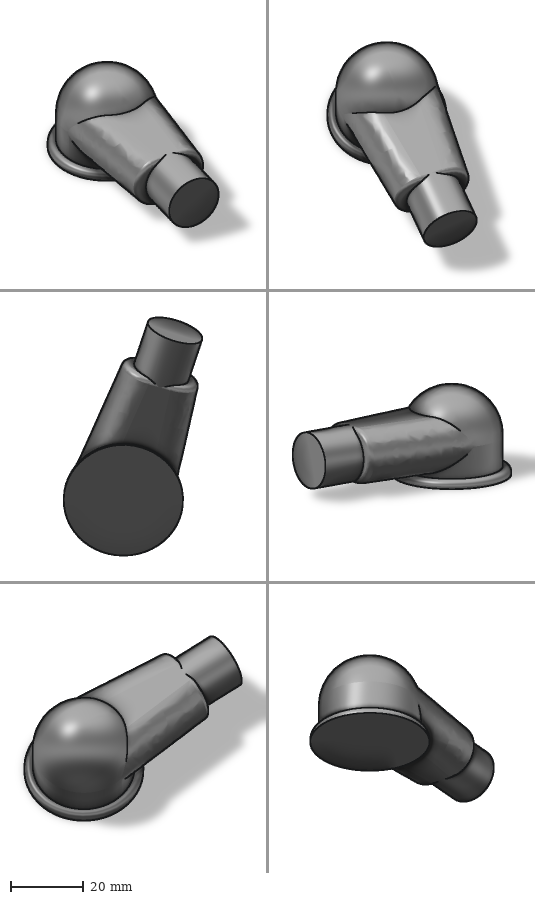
import cadquery as cq
import math

dome_radius = 14.2
total_height = 25.4
axis_height = total_height - dome_radius
flange_radius = 16.5
flange_height = 2.3
flange_round = 1.7

outlet_radius = 7.9
overall_length = 64.8
outlet_end = overall_length - flange_radius
shroud_end = 35.35
shroud_round = 1.55
flat_half_width_at_dome = 6.3
flat_half_width_at_end = 3.0


def make_dome():
    """Cylinder topped by a hemisphere."""
    half_angle = math.radians(45)
    arc_middle = (
        dome_radius * math.cos(half_angle),
        axis_height + dome_radius * math.sin(half_angle),
    )
    return (
        cq.Workplane("XZ")
        .lineTo(dome_radius, 0)
        .lineTo(dome_radius, axis_height)
        .threePointArc(arc_middle, (0, total_height))
        .close()
        .revolve(360, (0, 0), (0, 1))
    )


def make_flange():
    """Base rim with a rounded upper edge."""
    rim = cq.Workplane("XY").circle(flange_radius).extrude(flange_height)
    return rim.faces(">Z").edges().fillet(flange_round)


def make_shroud():
    """Slot-shaped shroud that narrows from the dome to a rounded end."""
    slot_width_at_dome = 2 * (flat_half_width_at_dome + outlet_radius)
    slot_width_at_end = 2 * (flat_half_width_at_end + outlet_radius)
    shroud = (
        cq.Workplane("YZ", origin=(0, 0, axis_height))
        .slot2D(slot_width_at_dome, 2 * outlet_radius)
        .workplane(offset=shroud_end)
        .slot2D(slot_width_at_end, 2 * outlet_radius)
        .loft(ruled=True)
    )
    return shroud.faces(">X").edges().fillet(shroud_round)


def make_outlet():
    """Round tube stub that leaves the shroud."""
    return (
        cq.Workplane("YZ", origin=(0, 0, axis_height))
        .circle(outlet_radius)
        .extrude(outlet_end)
    )


result = make_dome().union(make_flange()).union(make_shroud()).union(make_outlet())